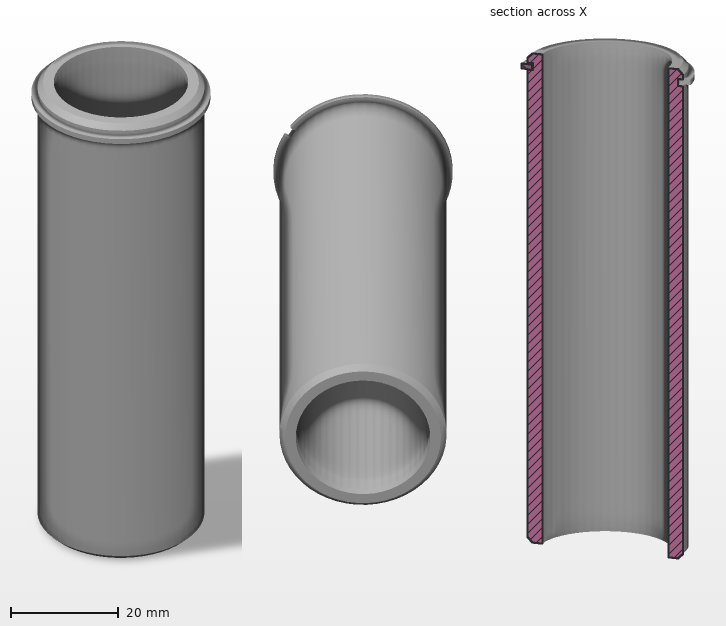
import cadquery as cq

tube_length = 95.0
tube_diameter = 31.1
bore_diameter = 25.0
end_chamfer = 1.0

groove_top_inset = 2.0
groove_width = 1.2
groove_depth = 1.0
groove_diameter = tube_diameter - 2 * groove_depth
groove_bottom = tube_length - groove_top_inset - groove_width

ring_diameter = 33.3
ring_thickness = 1.0
ring_gap = 2.0


def make_washer(outer_diameter, inner_diameter, thickness):
    """Flat annulus standing on the lower wall of the groove."""
    plane = cq.Workplane("XY").workplane(offset=groove_bottom)
    return plane.circle(outer_diameter / 2).circle(inner_diameter / 2).extrude(thickness)


def make_tube():
    """Bored tube with chamfered outer end edges and a groove for the ring."""
    blank = cq.Workplane("XY").circle(tube_diameter / 2).extrude(tube_length)
    blank = blank.faces("<Z or >Z").edges().chamfer(end_chamfer)
    bore = cq.Workplane("XY").circle(bore_diameter / 2).extrude(tube_length)
    groove = make_washer(ring_diameter, groove_diameter, groove_width)
    return blank.cut(bore).cut(groove)


def make_split_ring():
    """Flat ring seated in the groove, split by a parallel-sided gap."""
    ring = make_washer(ring_diameter, groove_diameter, ring_thickness)
    gap = (
        cq.Workplane("XY")
        .workplane(offset=groove_bottom)
        .center(0, ring_diameter / 2)
        .rect(ring_gap, ring_diameter)
        .extrude(ring_thickness)
    )
    return ring.cut(gap)


tube = make_tube()
split_ring = make_split_ring()

result = cq.Compound.makeCompound([tube.val(), split_ring.val()])